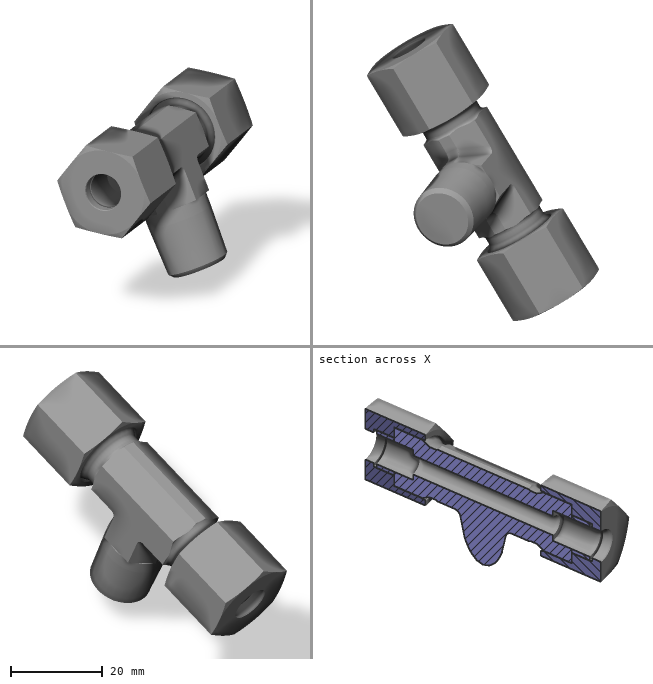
import cadquery as cq
import math


OVERALL_LENGTH = 64.0
BRANCH_TILT = 22.5
TUBE_BORE = 5.0
TUBE_DIAMETER = 8.0

NUT_ACROSS_FLATS = 19.0
NUT_LENGTH = 16.45
NUT_CHAMFER_ANGLE = 15.0
NUT_TUBE_HOLE = 8.1
NUT_RIM = 8.4
NUT_RIM_DEPTH = 0.25
SHOULDER_DEPTH = 2.4
NUT_MOUTH = 16.4
THREAD_DIAMETER = 16.0

RING_DIAMETER = 10.0
RING_LENGTH = 4.8
RING_CLEARANCE = 0.65

BAR_ACROSS_FLATS = 14.1
FLAT_WIDTH = 8.0
CORNER_TRIM = 14.45
BAR_HALF_LENGTH = 12.0
COVE_RADIUS = 0.95
NECK_DIAMETER = 13.7
NECK_START = BAR_HALF_LENGTH + COVE_RADIUS
NECK_END = 14.35
RUNOUT_RADIUS = 0.8
RUNOUT_ANGLE = 30.0
SOCKET_DEPTH = 5.1

COLLAR_DIAMETER = 14.5
COLLAR_START = 12.0
COLLAR_END = 15.05
TAPER_END = 26.0
BRANCH_END = 26.95
BRANCH_TAPER = 1 / 16
BRANCH_TIP = 12.0
FILLET_OVERRUN = 2.55
CORNER_FILLET = 1.6

HALF_LENGTH = OVERALL_LENGTH / 2
NUT_INNER_END = HALF_LENGTH - NUT_LENGTH
NUT_SHOULDER = HALF_LENGTH - SHOULDER_DEPTH
RING_OUTER_END = NUT_SHOULDER - RING_CLEARANCE
HOUSING_END = RING_OUTER_END - RING_LENGTH
HEXAGON_HALF_ANGLE = math.pi / 6
RUN_AXIS = ((0, 0, 0), (0, 1, 0))


def rod(diameter, start, end):
    """Cylinder on the run's axis between two Y positions."""
    return cq.Workplane("XZ", origin=(0, start, 0)).circle(diameter / 2).extrude(start - end)


def cone(start_diameter, end_diameter, start, end):
    """Frustum on the run's axis between two Y positions."""
    profile = [(0, start), (start_diameter / 2, start), (end_diameter / 2, end), (0, end)]
    return cq.Workplane("XY").polyline(profile).close().revolve(360, *RUN_AXIS)


def on_both_ends(body):
    """The body at the +Y end and its mirror image at the -Y end."""
    return [body, body.mirror("XZ")]


def turned(body):
    """The body's solid, with the branch direction turned from -Z toward +X."""
    return body.rotate(*RUN_AXIS, -BRANCH_TILT).val()



def wide_hexagon(plane):
    """Hexagon that reaches past the flats at +-X, with its two other corners cut off.

    Cutting it back to the flats leaves faces of FLAT_WIDTH there.
    """
    half_flats = BAR_ACROSS_FLATS / 2
    half_trim = CORNER_TRIM / 2
    slope = math.tan(HEXAGON_HALF_ANGLE)
    trim_width = half_flats - (half_trim - FLAT_WIDTH / 2) / slope
    wide = half_flats + FILLET_OVERRUN
    half_wide_face = FLAT_WIDTH / 2 - FILLET_OVERRUN * slope
    upper = [
        (wide, half_wide_face),
        (trim_width, half_trim),
        (-trim_width, half_trim),
        (-wide, half_wide_face),
    ]
    lower = [(-x, -y) for x, y in upper]
    return cq.Workplane(plane).polyline(upper + lower).close()


def make_bar_and_block():
    """Bar of the run and block of the branch, with fillets in the corners between them."""
    bar = wide_hexagon("XZ").extrude(NECK_START, both=True)
    block = wide_hexagon("XY").extrude(-COLLAR_START)
    body = bar.union(block)
    reach = BAR_ACROSS_FLATS
    margin = 0.65
    past_trim = CORNER_TRIM / 2 + margin
    for side in (1, -1):
        corner = cq.selectors.BoxSelector(
            (-reach, 0, -past_trim), (reach, side * past_trim, 0), boundingbox=True
        )
        body = body.edges(corner).fillet(CORNER_FILLET)
    slab = cq.Workplane("XY").box(BAR_ACROSS_FLATS, 2 * reach, 2 * reach)
    return body.intersect(slab)


def make_bar_cove():
    """Cutter that ends the bar in a cove rising from the neck."""
    neck_radius = NECK_DIAMETER / 2
    clear_radius = BAR_ACROSS_FLATS
    profile = (
        cq.Workplane("XY")
        .moveTo(neck_radius, NECK_START)
        .radiusArc((neck_radius + COVE_RADIUS, BAR_HALF_LENGTH), -COVE_RADIUS)
        .lineTo(clear_radius, BAR_HALF_LENGTH)
        .lineTo(clear_radius, NECK_START)
        .close()
    )
    return profile.revolve(360, *RUN_AXIS)


def make_run_end():
    """Neck, runout cone and thread at the +Y end."""
    neck_radius = NECK_DIAMETER / 2
    thread_radius = THREAD_DIAMETER / 2
    angle = math.radians(RUNOUT_ANGLE)
    cone_radius = neck_radius + RUNOUT_RADIUS * (1 - math.cos(angle))
    cone_start = NECK_END + RUNOUT_RADIUS * math.sin(angle)
    thread_start = cone_start + (thread_radius - cone_radius) / math.tan(angle)
    profile = (
        cq.Workplane("XY")
        .lineTo(neck_radius, 0)
        .lineTo(neck_radius, NECK_END)
        .radiusArc((cone_radius, cone_start), RUNOUT_RADIUS)
        .lineTo(thread_radius, thread_start)
        .lineTo(thread_radius, HOUSING_END)
        .lineTo(0, HOUSING_END)
        .close()
    )
    return profile.revolve(360, *RUN_AXIS)


def make_branch_stub():
    """Collar, tapered thread and tip chamfer of the branch."""
    collar_radius = COLLAR_DIAMETER / 2
    taper_radius = collar_radius - BRANCH_TAPER * (TAPER_END - COLLAR_END) / 2
    profile = [
        (0, -COLLAR_START),
        (collar_radius, -COLLAR_START),
        (collar_radius, -COLLAR_END),
        (taper_radius, -TAPER_END),
        (BRANCH_TIP / 2, -BRANCH_END),
        (0, -BRANCH_END),
    ]
    return cq.Workplane("XZ").polyline(profile).close().revolve(360, (0, 0, 0), (0, 1, 0))


def make_housing():
    housing = make_bar_and_block()
    for cove in on_both_ends(make_bar_cove()):
        housing = housing.cut(cove)
    for run_end in on_both_ends(make_run_end()):
        housing = housing.union(run_end)
    housing = housing.union(make_branch_stub())
    housing = housing.cut(rod(TUBE_BORE, -HOUSING_END, HOUSING_END))
    for socket in on_both_ends(rod(TUBE_DIAMETER, HOUSING_END - SOCKET_DEPTH, HOUSING_END)):
        housing = housing.cut(socket)
    return housing



def make_nut_blank():
    """Hexagon with two flats facing +-X and both ends chamfered by a cone."""
    corner_diameter = NUT_ACROSS_FLATS / math.cos(HEXAGON_HALF_ANGLE)
    hexagon = (
        cq.Workplane("XZ", origin=(0, NUT_INNER_END, 0))
        .transformed(rotate=(0, 0, math.degrees(HEXAGON_HALF_ANGLE)))
        .polygon(6, corner_diameter)
        .extrude(-NUT_LENGTH)
    )
    face_radius = NUT_ACROSS_FLATS / 2
    clear_radius = NUT_ACROSS_FLATS
    chamfer_drop = (clear_radius - face_radius) * math.tan(math.radians(NUT_CHAMFER_ANGLE))
    turned_profile = [
        (0, NUT_INNER_END),
        (face_radius, NUT_INNER_END),
        (clear_radius, NUT_INNER_END + chamfer_drop),
        (clear_radius, HALF_LENGTH - chamfer_drop),
        (face_radius, HALF_LENGTH),
        (0, HALF_LENGTH),
    ]
    envelope = cq.Workplane("XY").polyline(turned_profile).close().revolve(360, *RUN_AXIS)
    return hexagon.intersect(envelope)


def make_nut():
    """Nut at the +Y end: thread, seat for the ring and hole for the tube."""
    mouth_depth = (NUT_MOUTH - THREAD_DIAMETER) / 2
    return (
        make_nut_blank()
        .cut(rod(NUT_TUBE_HOLE, NUT_INNER_END, HALF_LENGTH))
        .cut(cone(NUT_TUBE_HOLE, NUT_RIM, HALF_LENGTH - NUT_RIM_DEPTH, HALF_LENGTH))
        .cut(rod(RING_DIAMETER, NUT_INNER_END, NUT_SHOULDER))
        .cut(rod(THREAD_DIAMETER, NUT_INNER_END, HOUSING_END))
        .cut(cone(NUT_MOUTH, THREAD_DIAMETER, NUT_INNER_END, NUT_INNER_END + mouth_depth))
    )



def make_ring():
    """Ring at the +Y end, between the housing and the nut's shoulder."""
    sleeve = rod(RING_DIAMETER, HOUSING_END, RING_OUTER_END)
    return sleeve.cut(rod(TUBE_DIAMETER, HOUSING_END, RING_OUTER_END))


housing = turned(make_housing())
nuts = [turned(nut) for nut in on_both_ends(make_nut())]
rings = [turned(ring) for ring in on_both_ends(make_ring())]

result = cq.Compound.makeCompound([housing, *nuts, *rings])